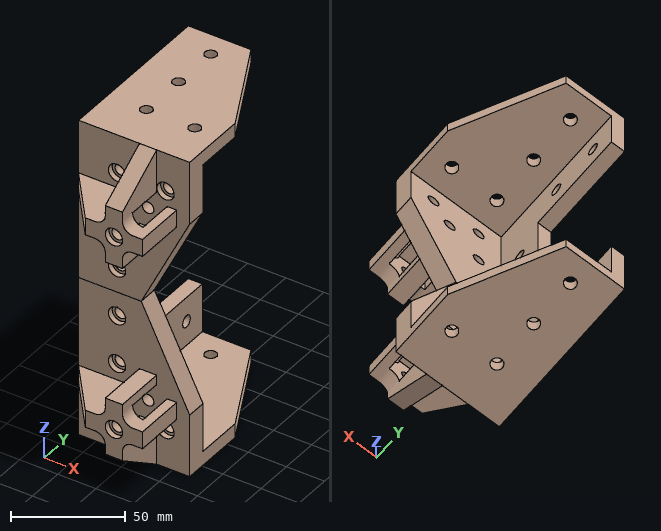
import cadquery as cq

hole_pitch = 25.4
edge_margin = hole_pitch / 2
hole_diameter = 6.0
counterbore_diameter = 9.0
counterbore_depth = 3.0

wall = 7.5
front_wall = wall + counterbore_depth

first_hole = wall + edge_margin
second_hole = first_hole + hole_pitch
third_hole = second_hole + hole_pitch
width = second_hole + edge_margin
reach = third_hole + edge_margin
arm_width = wall + hole_pitch
depth = reach + counterbore_depth

mount_x = 36.5
mount_drop = 32.5
mount_z = reach - mount_drop
mount_length = 27.0
cap_thickness = 8.0
arm_length = 15.0
arm_thickness = 9.0
cavity_half = 10.0
corner_radius = cavity_half - arm_thickness / 2
cavity_length = mount_length - cap_thickness


def tapered_plate_points(far_edge, long_edge):
    """Plate outline in (across, along), full width near the corner and tapering to the far edge."""
    return [
        (0, 0),
        (width, 0),
        (width, long_edge),
        (arm_width, far_edge),
        (0, far_edge),
    ]


def cylinder_along_y(x, z, diameter, start, length):
    """Cylinder that runs from y = start toward +Y."""
    circle = cq.Workplane("XZ", origin=(0, start, 0)).center(x, z).circle(diameter / 2)
    return circle.extrude(-length)


def make_plates():
    """Side, top and front plates meeting at one corner; front face at y = 0, foot at z = 0."""
    side_points = [
        (0, 0),
        (arm_width + counterbore_depth, 0),
        (arm_width + counterbore_depth, reach - arm_width),
        (depth, reach - arm_width),
        (depth, reach),
        (0, reach),
    ]
    side = cq.Workplane("YZ").polyline(side_points).close().extrude(wall)

    top_points = tapered_plate_points(depth, arm_width + counterbore_depth)
    top = cq.Workplane("XY", origin=(0, 0, reach)).polyline(top_points).close().extrude(-wall)

    front_points = [(x, reach - drop) for x, drop in tapered_plate_points(reach, arm_width)]
    front = cq.Workplane("XZ").polyline(front_points).close().extrude(-front_wall)
    return side.union(top).union(front)


def make_ribs():
    """Four ribs of the cross; those toward the side plate and the top slope back to the plate edges."""
    horizontal_points = [
        (0, 0),
        (mount_x - arm_length, -mount_length),
        (mount_x + arm_length, -mount_length),
        (mount_x + arm_length, 0),
    ]
    horizontal = (
        cq.Workplane("XY", origin=(0, 0, mount_z - arm_thickness / 2))
        .polyline(horizontal_points).close().extrude(arm_thickness)
    )
    vertical_points = [
        (0, reach),
        (-mount_length, mount_z + arm_length),
        (-mount_length, mount_z - arm_length),
        (0, mount_z - arm_length),
    ]
    vertical = (
        cq.Workplane("YZ", origin=(mount_x - arm_thickness / 2, 0, 0))
        .polyline(vertical_points).close().extrude(arm_thickness)
    )
    return horizontal.union(vertical)


def make_cap_core():
    """Middle of the cap: a square with its corners scooped out, blending the ribs together."""
    cap_plane = cq.Workplane("XZ", origin=(mount_x, -cavity_length, mount_z))
    square = cap_plane.rect(2 * cavity_half, 2 * cavity_half).extrude(cap_thickness)
    scoops = (
        cap_plane.rect(2 * cavity_half, 2 * cavity_half, forConstruction=True)
        .vertices().circle(corner_radius).extrude(cap_thickness)
    )
    return square.cut(scoops)


def make_mount():
    """Ribs with an open square cavity between the cap and the front plate."""
    cavity = (
        cq.Workplane("XZ", origin=(mount_x, 0, mount_z))
        .rect(2 * cavity_half, 2 * cavity_half).extrude(cavity_length)
    )
    return make_ribs().cut(cavity).union(make_cap_core())


def cut_holes(bracket):
    """Plain holes in the side and top plates, counterbored holes in the front plate and the cap."""
    side_places = [(first_hole, second_hole), (first_hole, third_hole),
                   (second_hole, first_hole), (third_hole, first_hole)]
    for back, drop in side_places:
        hole = (
            cq.Workplane("YZ").center(back + counterbore_depth, reach - drop)
            .circle(hole_diameter / 2).extrude(wall)
        )
        bracket = bracket.cut(hole)

    plate_places = [(first_hole, first_hole), (first_hole, second_hole),
                    (first_hole, third_hole), (second_hole, first_hole)]
    for x, along in plate_places:
        top_hole = (
            cq.Workplane("XY", origin=(0, 0, reach)).center(x, along + counterbore_depth)
            .circle(hole_diameter / 2).extrude(-wall)
        )
        front_z = reach - along
        front_hole = cylinder_along_y(x, front_z, hole_diameter, 0, front_wall)
        counterbore = cylinder_along_y(x, front_z, counterbore_diameter, 0, counterbore_depth)
        bracket = bracket.cut(top_hole).cut(front_hole).cut(counterbore)

    mount_hole = cylinder_along_y(mount_x, mount_z, hole_diameter, -mount_length, mount_length + front_wall)
    mount_counterbore = cylinder_along_y(
        mount_x, mount_z, counterbore_diameter, -mount_length, counterbore_depth
    )
    return bracket.cut(mount_hole).cut(mount_counterbore)


def make_bracket():
    """Complete upper corner bracket."""
    return cut_holes(make_plates().union(make_mount()))


upper_bracket = make_bracket()
lower_bracket = upper_bracket.mirror("XY")

result = cq.Compound.makeCompound([upper_bracket.val(), lower_bracket.val()])